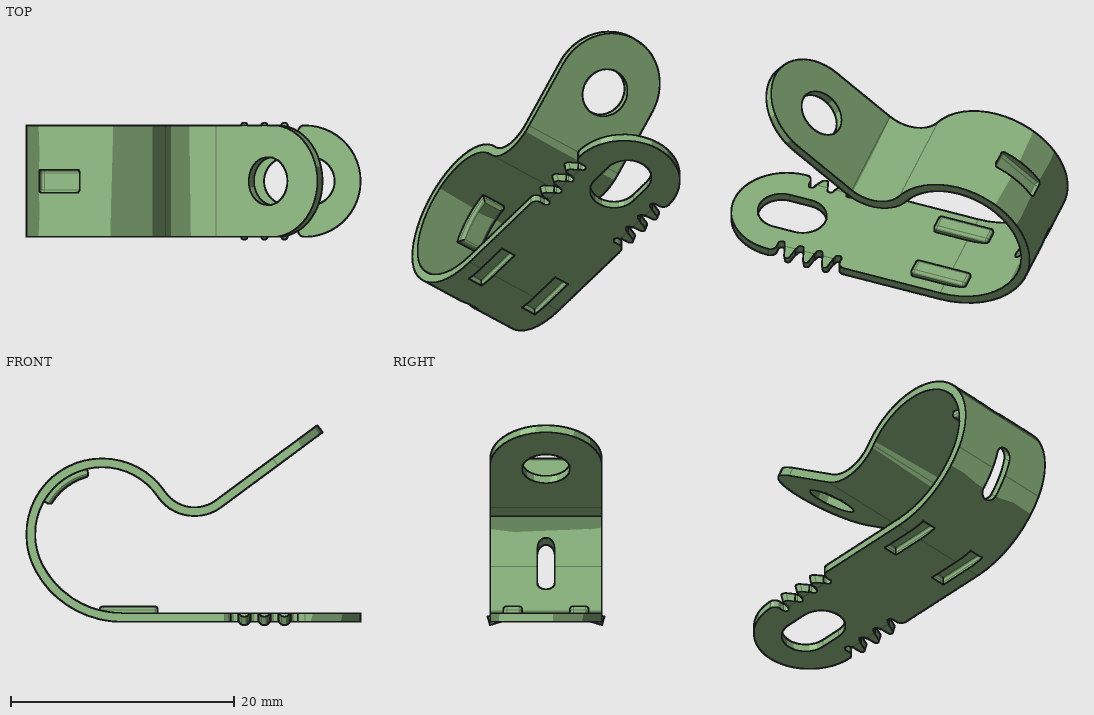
import cadquery as cq
import math


thickness = 0.8
width = 10.0
half_width = width / 2
total_length = 29.95

upper_outer_radius = 6.8
lower_outer_radius = 8.8
upper_center = (upper_outer_radius, 7.85)
center_distance = lower_outer_radius - upper_outer_radius
center_rise = lower_outer_radius - upper_center[1]
lower_center = (
    upper_center[0] + math.sqrt(center_distance**2 - center_rise**2),
    lower_outer_radius,
)
loop_join_angle = 180 + math.degrees(math.asin(center_rise / center_distance))

bend_inner_radius = 3.2
bend_start_angle = 34.2
lug_angle = 36.5

lug_length = 11.31
screw_hole_diameter = 4.3
screw_hole_to_tip = 5.5

slot_end_to_tip = 2.35
slot_travel = 2.0

tooth_count = 3
tooth_pitch = 1.8
tooth_row_center = 21.32
tooth_root_half_width = 0.6
tooth_taper = 16.0
tooth_bend_angle = 16.3
tooth_tip_y = 5.245
hinge_y = 4.15
groove_center_y = 3.95
groove_radius = tooth_pitch / 2 - tooth_root_half_width
recess_corner_fillet = 0.6

dent_inset = 0.13
pad_fillet = 0.3
dent_fillet = 0.25
base_pad_start = 6.57
base_pad_length = 5.22
base_pad_width = 1.7
base_pad_height = 0.6
base_pad_y = 2.98
loop_pad_width = 2.3
loop_pad_inner_radius = 5.3
loop_pad_angle = 126.75
loop_pad_span = 47.5
loop_dent_floor = 5.95
loop_dent_length = 4.52

loop_slot_width = 1.53
loop_slot_length = 4.98
loop_slot_angle = 42.0
loop_slot_center = (1.255, 4.61)


def polar(center, radius, angle):
    """Point at a radius and an angle in degrees from a center."""
    turn = math.radians(angle)
    return (center[0] + radius * math.cos(turn), center[1] + radius * math.sin(turn))


def plane_facing(origin, angle):
    """Plane at an XZ point on Y = 0, its normal at an angle to +X and its local Y along +Y."""
    turn = math.radians(angle)
    return cq.Plane(
        origin=(origin[0], 0, origin[1]),
        xDir=(math.sin(turn), 0, -math.cos(turn)),
        normal=(math.cos(turn), 0, math.sin(turn)),
    )


bend_center = polar(upper_center, upper_outer_radius + bend_inner_radius, bend_start_angle)
bend_end_angle = 270 + lug_angle
lug_plane = plane_facing(polar(bend_center, bend_inner_radius, bend_end_angle), 90 + lug_angle)


def sector(center, outer_radius, start, end, ring=thickness, depth=width):
    """Annular sector in the XZ plane, centered on Y = 0."""
    inner_radius = outer_radius - ring
    middle = (start + end) / 2
    return (
        cq.Workplane("XZ")
        .moveTo(*polar(center, outer_radius, start))
        .threePointArc(polar(center, outer_radius, middle), polar(center, outer_radius, end))
        .lineTo(*polar(center, inner_radius, end))
        .threePointArc(polar(center, inner_radius, middle), polar(center, inner_radius, start))
        .close()
        .extrude(depth / 2, both=True)
    )


def curved_strip():
    lower = sector(lower_center, lower_outer_radius, loop_join_angle, 270)
    upper = sector(upper_center, upper_outer_radius, bend_start_angle, loop_join_angle)
    bend = sector(bend_center, bend_inner_radius + thickness, 180 + bend_start_angle, bend_end_angle)
    return lower.union(upper).union(bend)


def tongue(plane, length):
    """Flat strip along a plane's local X, half-round at its far end, below the plane."""
    straight = length - half_width
    return (
        cq.Workplane(plane)
        .moveTo(0, -half_width)
        .lineTo(straight, -half_width)
        .threePointArc((length, 0), (straight, half_width))
        .lineTo(0, half_width)
        .close()
        .extrude(-thickness)
    )


def lug():
    hole = (
        cq.Workplane(lug_plane)
        .center(lug_length - screw_hole_to_tip, 0)
        .circle(screw_hole_diameter / 2)
        .extrude(-thickness)
    )
    return tongue(lug_plane, lug_length).cut(hole)


def tooth_centers():
    first = tooth_row_center - tooth_pitch * (tooth_count - 1) / 2
    return [first + tooth_pitch * index for index in range(tooth_count)]


def tooth_half_width(y):
    """Half width of the tapered tooth, measured in the flat before bending."""
    return tooth_root_half_width - (y - groove_center_y) * math.tan(math.radians(tooth_taper))


def edge_recess():
    """Material removed from the +Y plate edge: it leaves the tooth roots up to the hinge line."""
    row_half = tooth_pitch * tooth_count / 2 + groove_radius
    left = tooth_row_center - row_half
    right = tooth_row_center + row_half
    fillet = recess_corner_fillet
    fillet_middle = fillet * (1 - math.sqrt(0.5))
    fillet_start_y = half_width - fillet
    hinge_half = tooth_half_width(hinge_y)

    def groove(sketch, x):
        return sketch.threePointArc(
            (x, groove_center_y - groove_radius), (x + groove_radius, groove_center_y)
        )

    outline = (
        cq.Workplane("XY")
        .moveTo(left - fillet, half_width)
        .threePointArc((left - fillet_middle, half_width - fillet_middle), (left, fillet_start_y))
        .lineTo(left, groove_center_y)
    )
    for x in tooth_centers():
        outline = groove(outline, x - tooth_pitch / 2)
        outline = (
            outline.lineTo(x - hinge_half, hinge_y)
            .lineTo(x + hinge_half, hinge_y)
            .lineTo(x + tooth_root_half_width, groove_center_y)
        )
    outline = groove(outline, right - groove_radius)
    return (
        outline.lineTo(right, fillet_start_y)
        .threePointArc((right + fillet_middle, half_width - fillet_middle), (right + fillet, half_width))
        .close()
        .extrude(thickness)
    )


def tooth(x):
    """Tooth on the +Y edge, bent down about the hinge line, its round tip tangent to both flanks."""
    bend = math.radians(tooth_bend_angle)
    flat_tip_y = hinge_y + (tooth_tip_y - hinge_y) / math.cos(bend)
    taper = math.radians(tooth_taper)
    tip_radius = tooth_half_width(flat_tip_y) * math.cos(taper) / (1 - math.sin(taper))
    tangent_x = tip_radius * math.cos(taper)
    tangent_y = flat_tip_y - tip_radius * (1 - math.sin(taper))
    hinge_half = tooth_half_width(hinge_y)
    flat = (
        cq.Workplane("XY")
        .moveTo(x - hinge_half, hinge_y)
        .lineTo(x + hinge_half, hinge_y)
        .lineTo(x + tangent_x, tangent_y)
        .threePointArc((x, flat_tip_y), (x - tangent_x, tangent_y))
        .close()
        .extrude(thickness)
    )
    hinge_start = (x - hinge_half, hinge_y, thickness)
    hinge_end = (x + hinge_half, hinge_y, thickness)
    return flat.rotate(hinge_start, hinge_end, -tooth_bend_angle)


def base_plate():
    start = lower_center[0]
    plane = cq.Plane(origin=(start, 0, thickness), xDir=(1, 0, 0), normal=(0, 0, 1))
    slot_center = total_length - slot_end_to_tip - (slot_travel + screw_hole_diameter) / 2
    slot = (
        cq.Workplane("XY")
        .center(slot_center, 0)
        .slot2D(slot_travel + screw_hole_diameter, screw_hole_diameter)
        .extrude(thickness)
    )
    plate = tongue(plane, total_length - start).cut(slot)
    recess = edge_recess()
    plate = plate.cut(recess).cut(recess.mirror("XZ"))
    for x in tooth_centers():
        plate = plate.union(tooth(x)).union(tooth(x).mirror("XZ"))
    return plate


def base_rectangle(length, block_width):
    """Rectangle drawn on the base plate underside, centered on the pad length."""
    return cq.Workplane("XY").center(base_pad_start + base_pad_length / 2, 0).rect(length, block_width)


def add_base_pads(body):
    """Pads rise from the middle of the sheet, so they stay inside it where it curves up."""
    pad = base_rectangle(base_pad_length, base_pad_width).extrude(thickness / 2 + base_pad_height)
    pad = pad.edges("|Z or >Z").fillet(pad_fillet).translate((0, 0, thickness / 2))
    dent = base_rectangle(base_pad_length - 2 * dent_inset, base_pad_width - 2 * dent_inset)
    dent = dent.extrude(base_pad_height).edges(">Z").fillet(dent_fillet)
    for y in (-base_pad_y, base_pad_y):
        body = body.union(pad.translate((0, y, 0))).cut(dent.translate((0, y, 0)))
    return body


def add_loop_pad(body):
    pad = sector(
        upper_center,
        upper_outer_radius - thickness / 2,
        loop_pad_angle - loop_pad_span / 2,
        loop_pad_angle + loop_pad_span / 2,
        upper_outer_radius - thickness / 2 - loop_pad_inner_radius,
        loop_pad_width,
    )
    pad_middle = polar(upper_center, loop_pad_inner_radius, loop_pad_angle)
    inner_face = cq.selectors.NearestToPointSelector((pad_middle[0], 0, pad_middle[1]))
    pad = pad.faces(inner_face).edges().fillet(pad_fillet)
    floor_center = polar(upper_center, loop_dent_floor, loop_pad_angle)
    dent = (
        cq.Workplane(plane_facing(floor_center, loop_pad_angle))
        .rect(loop_dent_length, loop_pad_width - 2 * dent_inset)
        .extrude(upper_outer_radius - loop_dent_floor + thickness)
        .edges()
        .fillet(dent_fillet)
    )
    return body.union(pad).cut(dent)


def loop_slot():
    plane = plane_facing(loop_slot_center, loop_slot_angle)
    return (
        cq.Workplane(plane)
        .slot2D(loop_slot_length, loop_slot_width)
        .extrude(2 * thickness, both=True)
    )


clip = curved_strip().union(base_plate()).union(lug())
clip = add_base_pads(clip)
clip = add_loop_pad(clip)
result = clip.cut(loop_slot())